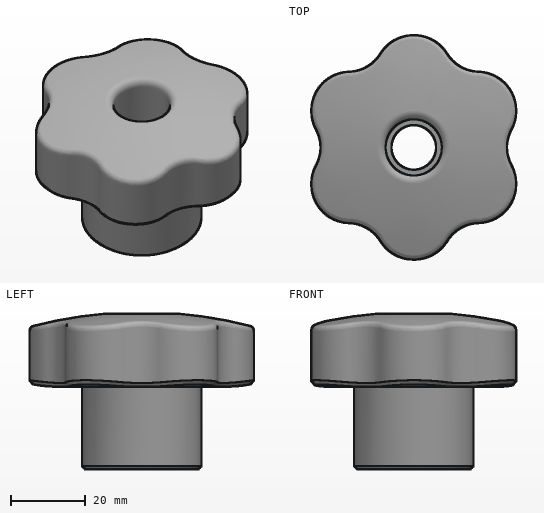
import cadquery as cq
import math

LOBE_COUNT = 6
TIP_RADIUS = 30.0
LOBE_RADIUS = 10.5
HOLLOW_RADIUS = 10.0
FIRST_LOBE_ANGLE = 90.0
LOBE_CENTRE = TIP_RADIUS - LOBE_RADIUS
HALF_PITCH = math.pi / LOBE_COUNT

GRIP_BOTTOM = 22.0
DOME_APEX = 42.0

DOME_RADIUS = 115.0
UNDERSIDE_FLAT_RADIUS = 22.0
UNDERSIDE_CURVE_RADIUS = 38.0
TOP_FILLET = 1.5
BOTTOM_CHAMFER = 0.95

STEM_DIAMETER = 32.0
STEM_CHAMFER = 0.9
BORE_DIAMETER = 11.84
COUNTERBORE_DIAMETER = 15.0
MOUTH_FILLET = 2.0
MOUTH_MIDDLE_ANGLE = 135.0

BLANK_MARGIN = 5.0
BLANK_RADIUS = TIP_RADIUS + BLANK_MARGIN


def polar(radius, angle):
    """Point at a radius and an angle in degrees."""
    return (
        radius * math.cos(math.radians(angle)),
        radius * math.sin(math.radians(angle)),
    )


def hollow_centre_radius():
    """Distance from the axis to a hollow's centre, midway between two lobes and touching both."""
    across = LOBE_CENTRE * math.sin(HALF_PITCH)
    along = LOBE_CENTRE * math.cos(HALF_PITCH)
    return along + math.sqrt((LOBE_RADIUS + HOLLOW_RADIUS) ** 2 - across**2)


def joint():
    """Radius and angle, from a lobe's centreline, of the point where lobe and hollow meet."""
    share = LOBE_RADIUS / (LOBE_RADIUS + HOLLOW_RADIUS)
    hollow_centre = hollow_centre_radius()
    along = LOBE_CENTRE + share * (hollow_centre * math.cos(HALF_PITCH) - LOBE_CENTRE)
    across = share * hollow_centre * math.sin(HALF_PITCH)
    return math.hypot(along, across), math.degrees(math.atan2(across, along))


def lobed_outline():
    """Closed outline of tangent lobe and hollow arcs, with a lobe on the +Y axis."""
    pitch = 360.0 / LOBE_COUNT
    joint_radius, joint_angle = joint()
    hollow_bottom = hollow_centre_radius() - HOLLOW_RADIUS

    outline = cq.Workplane("XY").moveTo(*polar(joint_radius, FIRST_LOBE_ANGLE - joint_angle))
    for index in range(LOBE_COUNT):
        lobe = FIRST_LOBE_ANGLE + index * pitch
        outline = outline.threePointArc(
            polar(TIP_RADIUS, lobe),
            polar(joint_radius, lobe + joint_angle),
        )
        outline = outline.threePointArc(
            polar(hollow_bottom, lobe + pitch / 2),
            polar(joint_radius, lobe + pitch - joint_angle),
        )
    return outline.close()


def arc_drop(arc_radius, distance):
    """Height an arc falls at a distance from its highest point."""
    return arc_radius - math.sqrt(arc_radius**2 - distance**2)


def dome_point(distance):
    """Point of the domed top at a distance from the axis."""
    return (distance, DOME_APEX - arc_drop(DOME_RADIUS, distance))


def underside_point(distance):
    """Point of the upturned underside at a distance from the axis."""
    beyond_flat = distance - UNDERSIDE_FLAT_RADIUS
    return (distance, GRIP_BOTTOM + arc_drop(UNDERSIDE_CURVE_RADIUS, beyond_flat))


def grip_blank():
    """Domed ring with a rounded mouth and a flat underside that curves up at the rim."""
    bore_radius = COUNTERBORE_DIAMETER / 2
    underside_middle = (UNDERSIDE_FLAT_RADIUS + BLANK_RADIUS) / 2

    dome_centre_z = DOME_APEX - DOME_RADIUS
    mouth_x = bore_radius + MOUTH_FILLET
    mouth_z = dome_centre_z + math.sqrt((DOME_RADIUS - MOUTH_FILLET) ** 2 - mouth_x**2)
    mouth_edge = mouth_x * DOME_RADIUS / (DOME_RADIUS - MOUTH_FILLET)
    arc_middle_x, arc_middle_z = polar(MOUTH_FILLET, MOUTH_MIDDLE_ANGLE)
    dome_middle = (mouth_edge + BLANK_RADIUS) / 2

    profile = (
        cq.Workplane("XZ")
        .moveTo(bore_radius, GRIP_BOTTOM)
        .lineTo(UNDERSIDE_FLAT_RADIUS, GRIP_BOTTOM)
        .threePointArc(underside_point(underside_middle), underside_point(BLANK_RADIUS))
        .lineTo(*dome_point(BLANK_RADIUS))
        .threePointArc(dome_point(dome_middle), dome_point(mouth_edge))
        .threePointArc(
            (mouth_x + arc_middle_x, mouth_z + arc_middle_z),
            (bore_radius, mouth_z),
        )
        .close()
    )
    return profile.revolve(360, (0, 0, 0), (0, 1, 0))


def grip():
    """Lobed grip with a rounded upper edge and a chamfered lower edge."""
    seam_angle = FIRST_LOBE_ANGLE - joint()[1]
    blank = grip_blank().rotate((0, 0, 0), (0, 0, 1), seam_angle)
    body = lobed_outline().extrude(DOME_APEX).intersect(blank)
    body = body.faces("%SPHERE").edges("not %CIRCLE").fillet(TOP_FILLET)
    return body.faces("%REVOLUTION").edges("not %CIRCLE").chamfer(BOTTOM_CHAMFER)


def stem():
    """Round stem under the grip, chamfered at its foot and bored through."""
    return (
        cq.Workplane("XY")
        .circle(STEM_DIAMETER / 2)
        .extrude(GRIP_BOTTOM)
        .faces("<Z")
        .chamfer(STEM_CHAMFER)
        .cut(cq.Workplane("XY").circle(BORE_DIAMETER / 2).extrude(GRIP_BOTTOM))
    )


result = grip().union(stem())